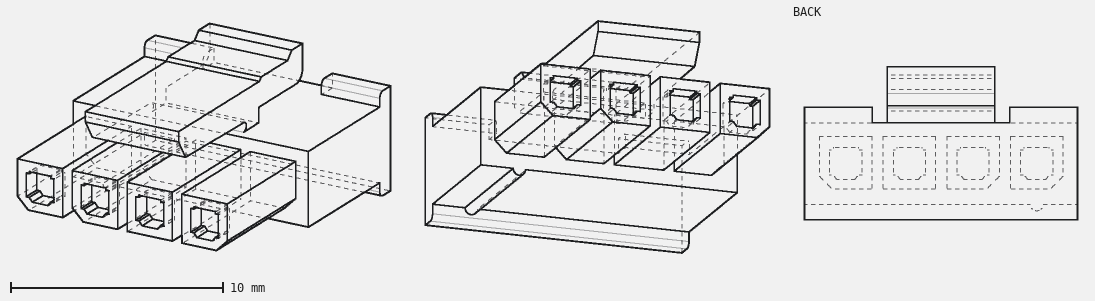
import cadquery as cq


width = 12.85
length = 14.0
height = 7.21

body_length = 7.65
body_bottom = 0.74
body_top = 4.58
flange_height = 5.3
flange_thickness = 1.01
flange_edge_radius = 0.28
upper_flange_width = 3.19

overlap = 0.14

pin_pitch = 3.0
pin_count = 4
sleeve_size = 2.48
sleeve_bottom = 1.45
sleeve_chamfer = 0.6
key_sides = ["left", "left", "none", "right"]

cavity_size = 1.51
cavity_bottom = 1.9
cavity_depth = 1.0
cavity_side_step = 0.17
cavity_top_step = 0.11
cavity_bottom_step = 0.21
cavity_bottom_slope = 0.17

rib_radius = 0.31

latch_width = 5.08
latch_rear = 1.57
latch_front = 13.1
hook_end = 2.58
hook_drop = 0.39
step_start = 5.42
lever_top = 6.65
step_drop = height - hook_drop - lever_top
lever_nose_bottom = 6.13
lever_front_underside = 5.14
lever_tip_underside_end = 12.46
latch_rear_underside = 5.36
latch_rear_radius = 0.6
neck_rear = 5.64
neck_rear_radius = 0.08
neck_front = 6.8
neck_slot_radius = 0.24


def box(size_x, y_rear, y_front, z_bottom, z_top, x_center=0.0):
    """Block given by its X width and its Y and Z limits."""
    return (
        cq.Workplane("XY", origin=(x_center, (y_rear + y_front) / 2, z_bottom))
        .rect(size_x, y_rear - y_front)
        .extrude(z_top - z_bottom)
    )


def make_body():
    return box(width, 0, -body_length, body_bottom, body_top)


def make_flange():
    """Full-width lip below the body and one lip above it at each end of the row."""
    flange = box(width, 0, -flange_thickness, 0, body_top)
    flange = flange.edges("<Y and <Z").fillet(flange_edge_radius)
    for side in (-1, 1):
        lip_center = side * (width - upper_flange_width) / 2
        lip = box(upper_flange_width, 0, -flange_thickness, body_top - overlap, flange_height, lip_center)
        flange = flange.union(lip.edges("<Y and >Z").fillet(flange_edge_radius))
    return flange


def make_sleeve(x_center, key_side):
    """Square sleeve whose lower corner on the key side is cut off along its length."""
    sleeve = box(
        sleeve_size, -body_length + overlap, -length, sleeve_bottom, sleeve_bottom + sleeve_size, x_center
    )
    if key_side == "left":
        sleeve = sleeve.edges("<X and <Z").chamfer(sleeve_chamfer)
    elif key_side == "right":
        sleeve = sleeve.edges(">X and <Z").chamfer(sleeve_chamfer)
    return sleeve


def make_cavity(x_center):
    """Blind pocket with stepped upper corners and stepped, sloped lower corners."""
    wall = cavity_size / 2
    shoulder = wall - cavity_side_step
    floor = shoulder - cavity_bottom_slope
    right_side = [
        (floor, 0),
        (shoulder, cavity_bottom_step),
        (wall, cavity_bottom_step),
        (wall, cavity_size - cavity_top_step),
        (shoulder, cavity_size - cavity_top_step),
        (shoulder, cavity_size),
    ]
    left_side = [(-x, z) for x, z in reversed(right_side)]
    return (
        cq.Workplane("XZ", origin=(x_center, -length + cavity_depth, cavity_bottom))
        .polyline(right_side + left_side)
        .close()
        .extrude(cavity_depth)
    )


def make_rib(x_center):
    return (
        cq.Workplane("XZ", origin=(x_center, -flange_thickness + overlap, body_bottom))
        .circle(rib_radius)
        .extrude(body_length - flange_thickness + overlap)
    )


def make_latch():
    """Side profile of the lever and its neck, extruded across the latch width."""
    neck_bottom = body_top - overlap
    slot_top = body_top + 2 * neck_slot_radius
    slot_center = neck_front + neck_slot_radius
    profile = (
        cq.Workplane("YZ", origin=(-latch_width / 2, 0, 0))
        .moveTo(-latch_rear, height)
        .lineTo(-hook_end, height)
        .lineTo(-hook_end - hook_drop, height - hook_drop)
        .lineTo(-step_start, height - hook_drop)
        .lineTo(-step_start - step_drop, lever_top)
        .lineTo(-latch_front, lever_top)
        .lineTo(-latch_front, lever_nose_bottom)
        .lineTo(-lever_tip_underside_end, lever_front_underside)
        .lineTo(-slot_center, slot_top)
        .threePointArc((-neck_front, body_top + neck_slot_radius), (-slot_center, body_top))
        .lineTo(-slot_center, neck_bottom)
        .lineTo(-neck_rear, neck_bottom)
        .lineTo(-neck_rear, latch_rear_underside - neck_rear_radius)
        .radiusArc((-neck_rear + neck_rear_radius, latch_rear_underside), neck_rear_radius)
        .lineTo(-latch_rear - latch_rear_radius, latch_rear_underside)
        .radiusArc((-latch_rear, latch_rear_underside + latch_rear_radius), -latch_rear_radius)
        .close()
    )
    return profile.extrude(latch_width)


pin_centers = [(i - (pin_count - 1) / 2) * pin_pitch for i in range(pin_count)]

result = make_body().union(make_flange()).union(make_latch()).union(make_rib(pin_centers[0]))
for pin_x, key_side in zip(pin_centers, key_sides):
    result = result.union(make_sleeve(pin_x, key_side)).cut(make_cavity(pin_x))